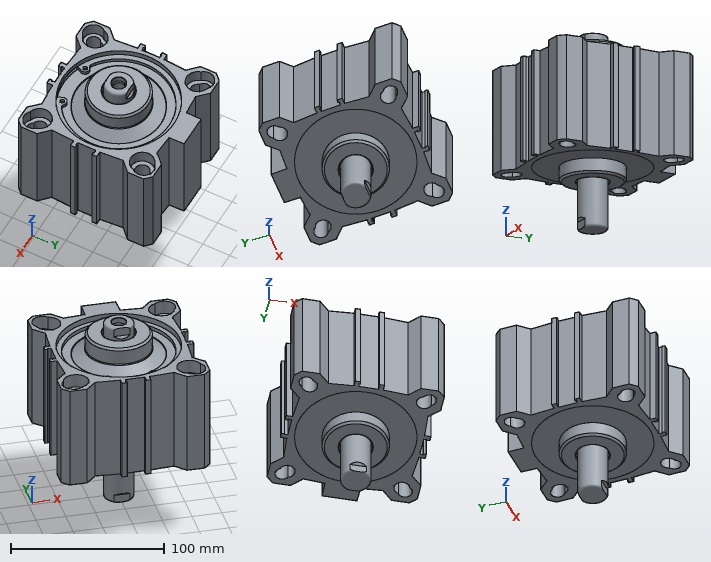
import cadquery as cq
import math


body_height = 71.0
collar_height = 10.0
rod_top_reach = 7.9
rod_bottom_reach = 33.0
collar_top_z = body_height + collar_height
collar_bottom_z = -collar_height
rod_top_z = collar_top_z + rod_top_reach
rod_bottom_z = collar_bottom_z - rod_bottom_reach

half_width = 50.0
corner_cut = 4.6
lug_outer_start = 33.7
waist_start = 26.5
waist_depth = 42.8
side_reach = 44.0
corner_middle = math.hypot(half_width, half_width - corner_cut) / math.sqrt(2)

rail_outer = 9.8
rail_tip = 48.2
lip_inner = 6.0
lip_inner_tip = 6.2
lip_base = 46.2
neck_root = 6.5
neck_top = 6.9
rail_embed = 1.3

block_reach = 54.9
block_half_root = 11.9
block_half_tip = 11.6

bolt_offset = 38.1
bolt_diameter = 10.3
bolt_counterbore_diameter = 16.6
relief_offset = 40.9
relief_diameter = 9.4
relief_counterbore_diameter = 14.4
counterbore_depth = 9.2

bore_diameter = 80.0
mouth_diameter = 82.1
groove_diameter = 85.5
ring_depth = 4.0
ring_thickness = 2.5
ring_top_z = body_height - ring_depth
ring_bottom_z = ring_top_z - ring_thickness

ring_inner_diameter = 74.8
ear_radius = 3.2
ear_hole_diameter = 3.0
ear_distance = 37.0
ear_angle = 25.0
ear_blend_radius = 2.1

flange_thickness = 13.2
flange_diameter = 81.7
shoulder_z = ring_bottom_z - flange_thickness
collar_diameter = 44.0
collar_chamfer = 1.5
collar_flare = 0.7
cone_outer_diameter = 62.6
cone_foot_diameter = 61.9
cone_inner_diameter = 44.9
cone_top_depth = 2.1
cone_step_depth = 0.4
cone_top_z = body_height - cone_top_depth
cone_foot_z = ring_bottom_z - cone_step_depth
rod_clearance_diameter = 20.6
rod_mouth_diameter = 21.9
rod_mouth_depth = 2.0
rod_mouth_chamfer = 0.5

rod_diameter = 20.0
rod_end_fillet = 1.7
flat_half_width = 8.5
flat_length = 5.8
socket_diameter = 9.8
socket_chamfer = 0.3
socket_depth = 4.0
socket_floor_drop = 0.9
tap_diameter = 8.3
tap_depth = 19.8
tap_cone_depth = 2.4


def disc(diameter, z_low, z_high):
    """A cylinder on the rod axis between two heights."""
    return cq.Workplane("XY").workplane(offset=z_low).circle(diameter / 2).extrude(z_high - z_low)


def revolved(profile):
    """A body of revolution about Z from (radius, z) points."""
    return cq.Workplane("XZ").polyline(profile).close().revolve(360, (0, 0, 0), (0, 1, 0))


def housing_side_outline():
    """The -Y side of the outline, from its left corner to its right corner, without rails."""
    right_half = [
        (rail_outer, -side_reach),
        (waist_start, -waist_depth),
        (lug_outer_start, -half_width),
        (half_width - corner_cut, -half_width),
    ]
    left_half = [(-x, y) for x, y in reversed(right_half)]
    return left_half + right_half


def rotated(point, quarter_turns):
    """The point turned about the origin by 90 degrees per quarter turn."""
    x, y = point
    for _ in range(quarter_turns % 4):
        x, y = -y, x
    return (x, y)


def make_rail(mirror_sign):
    """One hooked rail on the -Y side; the two of a pair face each other."""
    points = [
        (rail_outer, rail_embed - side_reach),
        (rail_outer, -rail_tip),
        (lip_inner_tip, -rail_tip),
        (lip_inner, -lip_base),
        (neck_top, -lip_base),
        (neck_root, -side_reach),
        (neck_root, rail_embed - side_reach),
    ]
    mirrored = [(mirror_sign * x, y) for x, y in points]
    return cq.Workplane("XY").polyline(mirrored).close().extrude(body_height)


def make_body_blank():
    corner = (-corner_middle, -corner_middle)
    side = housing_side_outline()
    outline = cq.Workplane("XY").moveTo(*rotated(side[-1], -1))
    for turn in range(4):
        outline = outline.threePointArc(rotated(corner, turn), rotated(side[0], turn))
        for point in side[1:]:
            outline = outline.lineTo(*rotated(point, turn))
    return outline.close().extrude(body_height)


def make_port_block():
    return (
        cq.Workplane("XY")
        .polyline([
            (-block_half_root, waist_depth),
            (-block_half_tip, block_reach),
            (block_half_tip, block_reach),
            (block_half_root, waist_depth),
        ])
        .close()
        .extrude(body_height)
    )


def make_corner_hole_cutters():
    """Through holes and counterbores of the four corners, as one cutting shape."""
    counterbore_z = body_height - counterbore_depth
    cutters = cq.Workplane("XY")
    for x_sign in (-1, 1):
        for y_sign in (-1, 1):
            for offset, through, counterbore in (
                (bolt_offset, bolt_diameter, bolt_counterbore_diameter),
                (relief_offset, relief_diameter, relief_counterbore_diameter),
            ):
                center = (x_sign * offset, y_sign * offset, 0)
                cutters = cutters.union(disc(through, 0, body_height).translate(center))
                cutters = cutters.union(disc(counterbore, counterbore_z, body_height).translate(center))
    return cutters


def make_housing():
    body = make_body_blank()
    for side_angle in (-90, 0, 90):
        for mirror_sign in (-1, 1):
            body = body.union(make_rail(mirror_sign).rotate((0, 0, 0), (0, 0, 1), side_angle))
    body = body.union(make_port_block())

    body = body.cut(disc(bore_diameter, 0, body_height))
    body = body.cut(disc(mouth_diameter, shoulder_z, body_height))
    body = body.cut(disc(groove_diameter, ring_bottom_z, ring_top_z))
    return body.cut(make_corner_hole_cutters())


def collar_end(end_z, inward):
    """Profile points round the free end of a collar, from its outer wall into the rod hole."""
    collar_r = collar_diameter / 2
    mouth_r = rod_mouth_diameter / 2
    return [
        (collar_r, end_z + inward * collar_chamfer),
        (collar_r - collar_chamfer, end_z),
        (mouth_r + rod_mouth_chamfer, end_z),
        (mouth_r, end_z + inward * rod_mouth_chamfer),
        (rod_clearance_diameter / 2, end_z + inward * rod_mouth_depth),
    ]


def make_top_cover():
    return revolved([
        (rod_clearance_diameter / 2, shoulder_z),
        (flange_diameter / 2, shoulder_z),
        (flange_diameter / 2, ring_bottom_z),
        (cone_outer_diameter / 2, ring_bottom_z),
        (cone_foot_diameter / 2, cone_foot_z),
        (cone_inner_diameter / 2, cone_top_z),
        (collar_diameter / 2, cone_top_z + collar_flare),
        *collar_end(collar_top_z, -1),
    ])


def make_bottom_cover():
    return revolved([
        (rod_clearance_diameter / 2, flange_thickness),
        (bore_diameter / 2, flange_thickness),
        (bore_diameter / 2, 0),
        (collar_diameter / 2, 0),
        *collar_end(collar_bottom_z, 1),
    ])


def make_snap_ring():
    inner_r = ring_inner_diameter / 2
    outer_r = groove_diameter / 2
    blank = disc(groove_diameter, ring_bottom_z, ring_top_z)
    ring = blank.cut(disc(ring_inner_diameter, ring_bottom_z, ring_top_z))

    half_gap = math.radians(ear_angle)
    reach = 2 * outer_r
    gap = (
        cq.Workplane("XY")
        .workplane(offset=ring_bottom_z)
        .polyline([
            (0, 0),
            (-reach * math.sin(half_gap), -reach * math.cos(half_gap)),
            (reach * math.sin(half_gap), -reach * math.cos(half_gap)),
        ])
        .close()
        .extrude(ring_thickness)
    )
    ring = ring.cut(gap)

    for side in (-1, 1):
        ear = disc(2 * ear_radius, ring_bottom_z, ring_top_z).translate((0, -ear_distance, 0))
        tail = (
            cq.Workplane("XY")
            .workplane(offset=ring_bottom_z)
            .moveTo(0, -ear_distance)
            .lineTo(-side * ear_radius, -ear_distance)
            .lineTo(-side * ear_radius, -outer_r)
            .lineTo(0, -outer_r)
            .close()
            .extrude(ring_thickness)
        )
        ear = ear.union(tail).rotate((0, 0, 0), (0, 0, 1), side * ear_angle)
        ring = ring.union(ear)
    ring = ring.intersect(blank).clean()

    cosine = (ear_distance**2 + inner_r**2 - ear_radius**2) / (2 * ear_distance * inner_r)
    blend_angle = half_gap + math.acos(cosine)
    for side in (-1, 1):
        corner = (
            side * inner_r * math.sin(blend_angle),
            -inner_r * math.cos(blend_angle),
            (ring_bottom_z + ring_top_z) / 2,
        )
        ring = ring.edges("|Z").edges(cq.selectors.NearestToPointSelector(corner)).fillet(ear_blend_radius)

    for side in (-1, 1):
        hole = disc(ear_hole_diameter, ring_bottom_z, ring_top_z).translate((0, -ear_distance, 0))
        ring = ring.cut(hole.rotate((0, 0, 0), (0, 0, 1), side * ear_angle))
    return ring


def flat_cutter(end_z, inward):
    """Removes one wrench flat on the +Y side; its inner end runs out at 45 degrees."""
    rod_r = rod_diameter / 2
    run_out = rod_r - flat_half_width
    flat_end = end_z + inward * flat_length
    return (
        cq.Workplane("YZ")
        .polyline([
            (flat_half_width, end_z),
            (flat_half_width, flat_end),
            (rod_r, flat_end + inward * run_out),
            (rod_r, end_z),
        ])
        .close()
        .extrude(rod_r, both=True)
    )


def make_rod():
    rod = disc(rod_diameter, rod_bottom_z, rod_top_z).faces("<Z or >Z").edges().fillet(rod_end_fillet)
    for end_z, inward in ((rod_top_z, -1), (rod_bottom_z, 1)):
        cutter = flat_cutter(end_z, inward)
        rod = rod.cut(cutter).cut(cutter.mirror("XZ"))
    socket = revolved([
        (0, rod_top_z),
        (socket_diameter / 2 + socket_chamfer, rod_top_z),
        (socket_diameter / 2, rod_top_z - socket_chamfer),
        (socket_diameter / 2, rod_top_z - socket_depth),
        (tap_diameter / 2, rod_top_z - socket_depth - socket_floor_drop),
        (tap_diameter / 2, rod_top_z - tap_depth),
        (0, rod_top_z - tap_depth - tap_cone_depth),
    ])
    return rod.cut(socket)


housing = make_housing()
top_cover = make_top_cover()
bottom_cover = make_bottom_cover()
snap_ring = make_snap_ring()
rod = make_rod()

result = cq.Compound.makeCompound([
    housing.val(),
    top_cover.val(),
    bottom_cover.val(),
    snap_ring.val(),
    rod.val(),
])